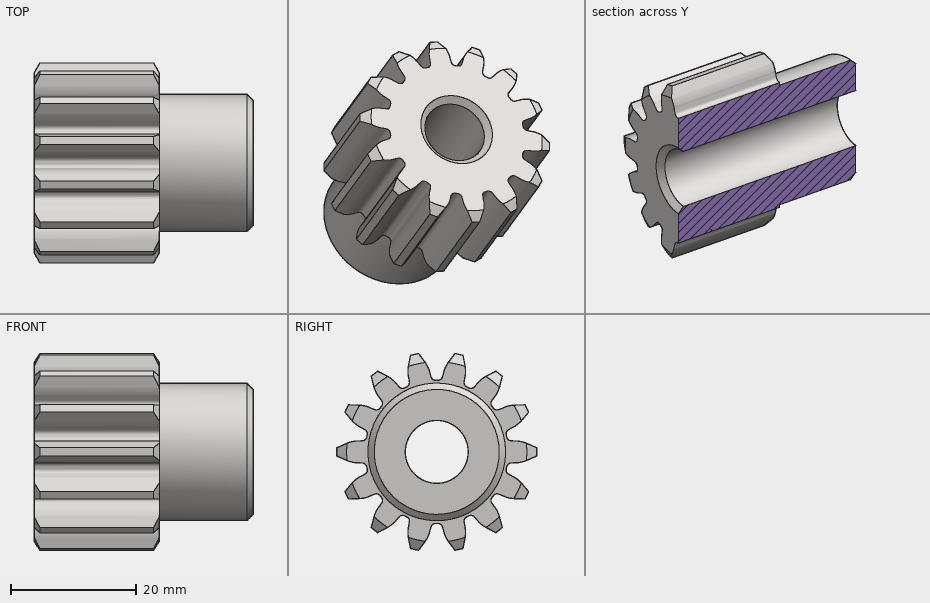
import cadquery as cq
import math

total_length = 35.0
gear_width = 20.0
hub_radius = 11.0
hub_chamfer = 1.0
bore_radius = 5.0
bore_chamfer = 1.0

tooth_count = 14
tip_radius = 16.0
root_radius = 11.45
tip_bevel_length = 0.9
tip_bevel_depth = 1.6

tip_half_thickness = 0.65
flank_break_reach = 14.15
flank_break_half_thickness = 1.47
flank_break_slope = math.radians(20.0)
neck_top_reach = 12.9
neck_bottom_reach = 12.6
neck_half_thickness = 1.75

root_fillet_radius = 0.7
root_arc_half_angle = math.radians(1.0)

pitch_angle = 2 * math.pi / tooth_count
gap_angle = pitch_angle / 2


def polar(radius, angle):
    return (radius * math.cos(angle), radius * math.sin(angle))


def from_center(center, radius, angle):
    """Point at the given radius and angle around a center."""
    dx, dy = polar(radius, angle)
    return (center[0] + dx, center[1] + dy)


def arc_middle(start, end, start_direction):
    """Middle of the arc that leaves start along start_direction and ends at end."""
    dx = end[0] - start[0]
    dy = end[1] - start[1]
    bend = math.remainder(math.atan2(dy, dx) - start_direction, 2 * math.pi)
    rise = math.tan(bend / 2) / 2
    return ((start[0] + end[0]) / 2 + dy * rise, (start[1] + end[1]) / 2 - dx * rise)


tip_corner = polar(tip_radius, math.asin(tip_half_thickness / tip_radius))
flank_break = (flank_break_reach, flank_break_half_thickness)
neck_top = (neck_top_reach, neck_half_thickness)
neck_bottom = (neck_bottom_reach, neck_half_thickness)

flank_middle = arc_middle(flank_break, tip_corner, -flank_break_slope)
shoulder_middle = arc_middle(flank_break, neck_top, math.pi - flank_break_slope)

root_end_angle = gap_angle - root_arc_half_angle
root_end = polar(root_radius, root_end_angle)
fillet_center = polar(root_radius + root_fillet_radius, root_end_angle)
to_neck_x = neck_bottom[0] - fillet_center[0]
to_neck_y = neck_bottom[1] - fillet_center[1]
to_neck = math.hypot(to_neck_x, to_neck_y)
fillet_start_angle = (
    math.atan2(to_neck_y, to_neck_x) % (2 * math.pi) - math.acos(root_fillet_radius / to_neck)
)
fillet_end_angle = root_end_angle + math.pi
fillet_start = from_center(fillet_center, root_fillet_radius, fillet_start_angle)
fillet_middle = from_center(
    fillet_center, root_fillet_radius, (fillet_start_angle + fillet_end_angle) / 2
)


def turned(point, angle):
    """The point of the first tooth's upper flank, turned about the axis."""
    return polar(math.hypot(*point), math.atan2(point[1], point[0]) + angle)


def mirrored(point, angle):
    """The same point on the lower flank of the tooth at the given angle."""
    return turned((point[0], -point[1]), angle)


def gear_outline():
    """Closed outline of all the teeth, running counter-clockwise."""
    outline = cq.Workplane("YZ").moveTo(*mirrored(tip_corner, 0.0))
    for tooth in range(tooth_count):
        angle = tooth * pitch_angle
        following = angle + pitch_angle
        outline = (
            outline.threePointArc(polar(tip_radius, angle), turned(tip_corner, angle))
            .threePointArc(turned(flank_middle, angle), turned(flank_break, angle))
            .threePointArc(turned(shoulder_middle, angle), turned(neck_top, angle))
            .lineTo(*turned(neck_bottom, angle))
            .lineTo(*turned(fillet_start, angle))
            .threePointArc(turned(fillet_middle, angle), turned(root_end, angle))
            .threePointArc(polar(root_radius, angle + gap_angle), mirrored(root_end, following))
            .threePointArc(mirrored(fillet_middle, following), mirrored(fillet_start, following))
            .lineTo(*mirrored(neck_bottom, following))
            .lineTo(*mirrored(neck_top, following))
            .threePointArc(mirrored(shoulder_middle, following), mirrored(flank_break, following))
            .threePointArc(mirrored(flank_middle, following), mirrored(tip_corner, following))
        )
    return outline.close()


def beveled_blank():
    """Disc with conical bevels at both ends that trims the tooth ends."""
    face_radius = tip_radius - tip_bevel_depth
    clearance = 0.35
    slope = tip_bevel_length / tip_bevel_depth
    outer_radius = tip_radius + clearance
    outer_start = slope * (outer_radius - face_radius)
    profile = [
        (0.0, 0.0),
        (0.0, face_radius),
        (outer_start, outer_radius),
        (gear_width - outer_start, outer_radius),
        (gear_width, face_radius),
        (gear_width, 0.0),
    ]
    return cq.Workplane("XY").polyline(profile).close().revolve(360, (0, 0, 0), (1, 0, 0))


def hub():
    return (
        cq.Workplane("YZ")
        .circle(hub_radius)
        .extrude(total_length)
        .faces(">X")
        .chamfer(hub_chamfer)
    )


def bore():
    """Through hole with a conical lead-in at the toothed face."""
    profile = [
        (0.0, 0.0),
        (0.0, bore_radius + bore_chamfer),
        (bore_chamfer, bore_radius),
        (total_length, bore_radius),
        (total_length, 0.0),
    ]
    return cq.Workplane("XY").polyline(profile).close().revolve(360, (0, 0, 0), (1, 0, 0))


gear = gear_outline().extrude(gear_width).intersect(beveled_blank())
result = gear.union(hub()).cut(bore())